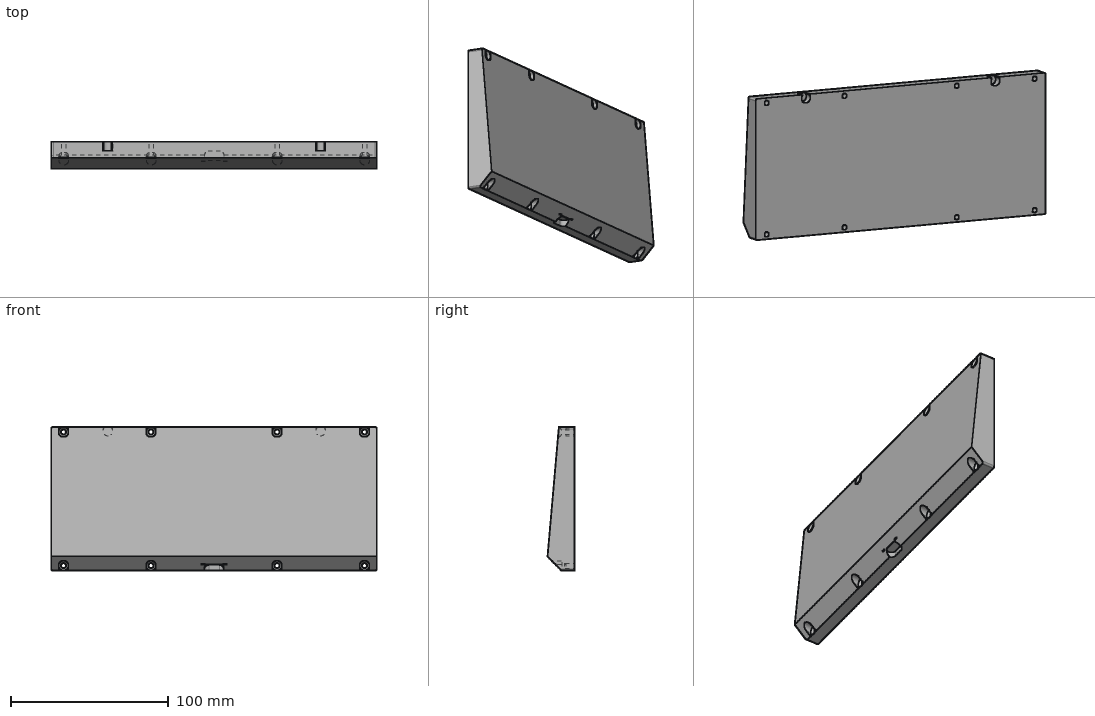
import cadquery as cq
import math

LENGTH = 206.71
DEPTH = 17.24
HEIGHT = 91.18

FRONT_LEAN_DEG = 5.0
KNEE_HEIGHT = 9.0
BOTTOM_DEPTH = DEPTH - KNEE_HEIGHT
TOP_DEPTH = DEPTH - (HEIGHT - KNEE_HEIGHT) * math.tan(math.radians(FRONT_LEAN_DEG))
CORNER_RADIUS = 1.2

SCREW_DIAMETER = 3.1
HEAD_DIAMETER = 6.3
SCREW_EDGE_INSET = 3.2
SCREW_X = (-95.5, -40.0, 40.0, 95.5)
EDGE_RELIEF = 0.1
TOP_SEAT_Y = EDGE_RELIEF - TOP_DEPTH
BOTTOM_SEAT_Y = EDGE_RELIEF - BOTTOM_DEPTH

NOTCH_DIAMETER = 6.2
NOTCH_DEPTH = 5.6
NOTCH_X = 67.5
NOTCH_THROAT_WIDTH = 4.9
NOTCH_MOUTH_WIDTH = 6.0
NOTCH_STEP_DEPTH = 0.5
NOTCH_AXIS_DROP = NOTCH_STEP_DEPTH + math.sqrt(NOTCH_DIAMETER**2 - NOTCH_THROAT_WIDTH**2) / 2

PORT_WIDTH = 12.6
PORT_THICKNESS = 6.1
PORT_HEIGHT = 4.0
PORT_Y = -8.8

SLIT_WIDTH = 2.2
SLIT_HEIGHT = 0.5
SLIT_X = 6.95
SLIT_BASE_Z = 3.8


def make_body():
    """Wedge profile extruded along X; the back face lies on Y = 0, the base on Z = 0."""
    profile = [
        (0, 0),
        (-BOTTOM_DEPTH, 0),
        (-DEPTH, KNEE_HEIGHT),
        (-TOP_DEPTH, HEIGHT),
        (0, HEIGHT),
    ]
    wedge = cq.Workplane("YZ").polyline(profile).close().extrude(LENGTH / 2, both=True)
    outline = (
        cq.Workplane("XZ")
        .rect(LENGTH, HEIGHT)
        .extrude(DEPTH)
        .translate((0, 0, HEIGHT / 2))
        .edges("|Y")
        .fillet(CORNER_RADIUS)
    )
    return wedge.intersect(outline)


def screw_hole(x, z, seat_y, edge_z):
    """Through hole, 90 degree countersink and head clearance opening towards edge_z."""
    cone_depth = (HEAD_DIAMETER - SCREW_DIAMETER) / 2
    half_profile = [
        (0, 0),
        (SCREW_DIAMETER / 2, 0),
        (SCREW_DIAMETER / 2, seat_y + cone_depth),
        (HEAD_DIAMETER / 2, seat_y),
        (HEAD_DIAMETER / 2, -DEPTH),
        (0, -DEPTH),
    ]
    tool = cq.Workplane("XY").polyline(half_profile).close().revolve(360, (0, 0), (0, 1))
    relief = (
        cq.Workplane("XZ", origin=(0, seat_y, 0))
        .center(0, (edge_z - z) / 2)
        .rect(HEAD_DIAMETER, abs(edge_z - z))
        .extrude(DEPTH)
    )
    return tool.union(relief).translate((x, 0, z))


def back_notch(x):
    """Blind round socket along Y whose open top widens in a shallow step."""
    half_mouth = NOTCH_MOUTH_WIDTH / 2
    half_throat = NOTCH_THROAT_WIDTH / 2
    step_z = HEIGHT - NOTCH_STEP_DEPTH
    socket_bottom_z = HEIGHT - NOTCH_AXIS_DROP - NOTCH_DIAMETER / 2
    return (
        cq.Workplane("XZ")
        .moveTo(x - half_mouth, HEIGHT)
        .lineTo(x - half_mouth, step_z)
        .lineTo(x - half_throat, step_z)
        .threePointArc((x, socket_bottom_z), (x + half_throat, step_z))
        .lineTo(x + half_mouth, step_z)
        .lineTo(x + half_mouth, HEIGHT)
        .close()
        .extrude(NOTCH_DEPTH)
    )


def port_pocket():
    """Blind pocket that also breaks out through the bevel."""
    return (
        cq.Workplane("XY")
        .center(0, PORT_Y)
        .slot2D(PORT_WIDTH, PORT_THICKNESS)
        .extrude(PORT_HEIGHT)
    )


def bevel_slit(x):
    """Wedge-shaped slit with a flat roof, running out to nothing at its lower edge."""
    wall_y = -BOTTOM_DEPTH - SLIT_BASE_Z
    return cq.Workplane("XY").box(SLIT_WIDTH, DEPTH, SLIT_HEIGHT, centered=(True, False, False)).translate(
        (x, wall_y - DEPTH, SLIT_BASE_Z)
    )


result = make_body()
for screw_x in SCREW_X:
    result = result.cut(screw_hole(screw_x, HEIGHT - SCREW_EDGE_INSET, TOP_SEAT_Y, HEIGHT))
    result = result.cut(screw_hole(screw_x, SCREW_EDGE_INSET, BOTTOM_SEAT_Y, 0))
for side in (-1, 1):
    result = result.cut(back_notch(side * NOTCH_X))
    result = result.cut(bevel_slit(side * SLIT_X))
result = result.cut(port_pocket())